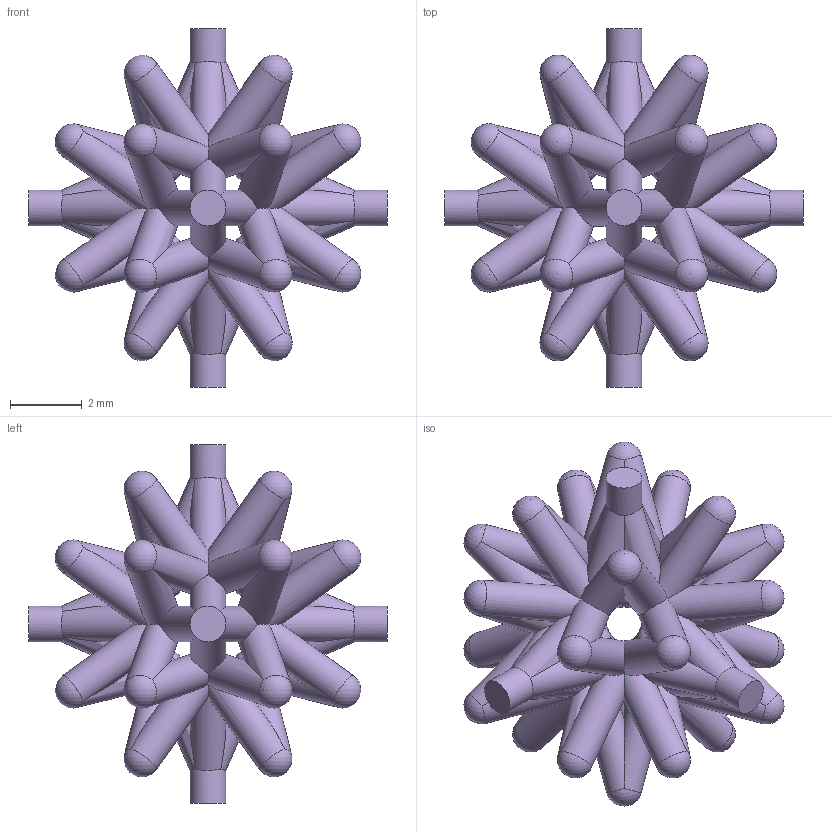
import cadquery as cq

OVERALL = 10.0
STRUT_DIAMETER = 1.0
NODE_OFFSET = 1.197
PEG_ROOT = 3.98
TIP_OFFSET = 1.846
TIP_HEIGHT = 3.766

RADIUS = STRUT_DIAMETER / 2
PEG_END = OVERALL / 2

SIGNS = (-1, 1)
AXES = (0, 1, 2)


def point(axis, along, first, second):
    """Point with 'along' on the given axis and the other two values on the following axes."""
    coords = [0.0, 0.0, 0.0]
    coords[axis] = along
    coords[(axis + 1) % 3] = first
    coords[(axis + 2) % 3] = second
    return cq.Vector(*coords)


def strut(start, end):
    """Straight round bar between two points."""
    direction = end - start
    return cq.Solid.makeCylinder(RADIUS, direction.Length, start, direction)


def ball(center):
    """Full sphere of the strut diameter, rounding a joint or a free end."""
    pole = cq.Vector(0, 0, 1)
    return cq.Solid.makeSphere(RADIUS, center, pole, -90, 90, 360)


def node_balls():
    """Twelve joints at the corners of a cuboctahedron."""
    return [
        ball(point(axis, 0, first * NODE_OFFSET, second * NODE_OFFSET))
        for axis in AXES
        for first in SIGNS
        for second in SIGNS
    ]


def peg_cluster(axis, side):
    """Flat-ended peg on one axis carried by a pyramid of four struts."""
    root = point(axis, side * PEG_ROOT, 0, 0)
    end = point(axis, side * PEG_END, 0, 0)
    height = side * NODE_OFFSET
    parts = [strut(root, end), ball(root)]
    for sign in SIGNS:
        parts.append(strut(point(axis, height, sign * NODE_OFFSET, 0), root))
        parts.append(strut(point(axis, height, 0, sign * NODE_OFFSET), root))
    return parts


def spike(axis, side, first, second):
    """Ball-ended spike made of two struts rising from neighbouring nodes."""
    tip = point(axis, side * TIP_HEIGHT, first * TIP_OFFSET, second * TIP_OFFSET)
    height = side * NODE_OFFSET
    return [
        strut(point(axis, height, first * NODE_OFFSET, 0), tip),
        strut(point(axis, height, 0, second * NODE_OFFSET), tip),
        ball(tip),
    ]


def build():
    """Hollow star: nodes, six pegs and twenty-four spikes fused into one solid."""
    parts = node_balls()
    for axis in AXES:
        for side in SIGNS:
            parts += peg_cluster(axis, side)
            for first in SIGNS:
                for second in SIGNS:
                    parts += spike(axis, side, first, second)
    return parts[0].fuse(*parts[1:])


result = cq.Workplane("XY").newObject([build()])